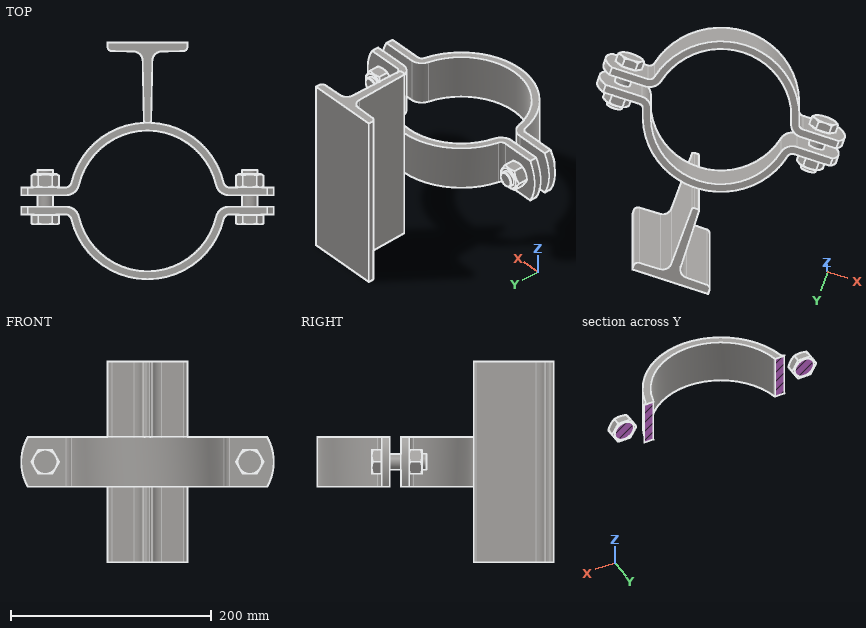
import cadquery as cq
import math

ring_radius = 78.0
strip_thickness = 8.0
strip_width = 50.0
ear_gap = 11.0
bend_radius = 5.5
ear_reach = 126.0
ear_tip_radius = 50.0

tee_length = 200.0
tee_height = 80.1
flange_width = 80.0
tee_thickness = 9.0
taper_slope = 0.02
root_radius = 9.0
toe_radius = 4.5
stem_tip_radius = 2.0
weld_overlap = 0.3

bolt_spacing = 203.9
bolt_diameter = 16.0
bolt_tip_diameter = 14.9
bolt_protrusion = 4.0
hex_across_flats = 24.0
head_height = 9.8
washer_face_diameter = 22.0
washer_face_height = 0.5
nut_height = 13.4
nut_top_face_diameter = 22.0
chamfer_angle = math.radians(30)

ear_back = ear_gap / 2 + strip_thickness
hex_corner_radius = hex_across_flats / math.sqrt(3)


def make_half_clamp():
    """Upper strip: half ring with a bent, round-tipped ear on each side."""
    bend_y = ear_back + bend_radius
    bend_x = math.sqrt((ring_radius + bend_radius) ** 2 - bend_y ** 2)
    bend_angle = math.atan2(bend_y, bend_x)
    bend_middle_angle = (bend_angle + math.pi + 1.5 * math.pi) / 2

    def on_ring(radius):
        return (radius * math.cos(bend_angle), radius * math.sin(bend_angle))

    def on_bend(radius):
        return (
            bend_x + radius * math.cos(bend_middle_angle),
            bend_y + radius * math.sin(bend_middle_angle),
        )

    def mirrored(point):
        return (-point[0], point[1])

    bore_radius = ring_radius - strip_thickness
    wide_bend_radius = bend_radius + strip_thickness
    strip = (
        cq.Workplane("XY")
        .moveTo(ear_reach, ear_back)
        .lineTo(bend_x, ear_back)
        .threePointArc(on_bend(bend_radius), on_ring(ring_radius))
        .threePointArc((0, ring_radius), mirrored(on_ring(ring_radius)))
        .threePointArc(mirrored(on_bend(bend_radius)), (-bend_x, ear_back))
        .lineTo(-ear_reach, ear_back)
        .lineTo(-ear_reach, ear_gap / 2)
        .lineTo(-bend_x, ear_gap / 2)
        .threePointArc(mirrored(on_bend(wide_bend_radius)), mirrored(on_ring(bore_radius)))
        .threePointArc((0, bore_radius), on_ring(bore_radius))
        .threePointArc(on_bend(wide_bend_radius), (bend_x, ear_gap / 2))
        .lineTo(ear_reach, ear_gap / 2)
        .close()
        .extrude(strip_width / 2, both=True)
    )

    half_width = strip_width / 2
    tip_depth = ear_tip_radius - math.sqrt(ear_tip_radius ** 2 - half_width ** 2)
    corner_x = ear_reach - tip_depth
    front_outline = (
        cq.Workplane("XZ")
        .moveTo(-corner_x, -half_width)
        .lineTo(corner_x, -half_width)
        .threePointArc((ear_reach, 0), (corner_x, half_width))
        .lineTo(-corner_x, half_width)
        .threePointArc((-ear_reach, 0), (-corner_x, -half_width))
        .close()
        .extrude(ring_radius, both=True)
    )
    return strip.intersect(front_outline)


def make_tee_bar():
    """Tapered tee section along Z, with rounded roots, toes and stem tip."""
    tip_y = ring_radius - weld_overlap
    back_y = tip_y + tee_height
    half_flange = flange_width / 2

    stem_tip_half = tee_thickness / 2 - taper_slope * tee_height / 2
    toe_y = back_y - tee_thickness + taper_slope * half_flange / 2
    flange_face_y = toe_y - tip_y - taper_slope * half_flange
    corner_x = (stem_tip_half + taper_slope * flange_face_y) / (1 - taper_slope ** 2)
    corner_y = tip_y + flange_face_y + taper_slope * corner_x

    bar = (
        cq.Workplane("XY")
        .workplane(offset=-tee_length / 2)
        .polyline([
            (-stem_tip_half, tip_y),
            (stem_tip_half, tip_y),
            (corner_x, corner_y),
            (half_flange, toe_y),
            (half_flange, back_y),
            (-half_flange, back_y),
            (-half_flange, toe_y),
            (-corner_x, corner_y),
        ])
        .close()
        .extrude(tee_length)
    )

    def round_edges(body, x, y, radius):
        for side in (-1, 1):
            edge = cq.selectors.NearestToPointSelector((side * x, y, 0))
            body = body.edges("|Z").edges(edge).fillet(radius)
        return body

    bar = round_edges(bar, corner_x, corner_y, root_radius)
    bar = round_edges(bar, half_flange, toe_y, toe_radius)
    return round_edges(bar, stem_tip_half, tip_y, stem_tip_radius)


def make_hexagon(bottom_y, height, bottom_face_radius, top_face_radius):
    """Hexagon along +Y with corners on X, its corners chamfered by a turned envelope."""
    top_y = bottom_y + height
    bottom_chamfer_height = (hex_corner_radius - bottom_face_radius) * math.tan(chamfer_angle)
    top_chamfer_height = (hex_corner_radius - top_face_radius) * math.tan(chamfer_angle)
    outline = [(0, bottom_y), (bottom_face_radius, bottom_y)]
    if bottom_chamfer_height > 0:
        outline.append((hex_corner_radius, bottom_y + bottom_chamfer_height))
    outline += [
        (hex_corner_radius, top_y - top_chamfer_height),
        (top_face_radius, top_y),
        (0, top_y),
    ]
    envelope = cq.Workplane("XY").polyline(outline).close().revolve(360, (0, 0), (0, 1))
    prism = (
        cq.Workplane("XZ", origin=(0, bottom_y, 0))
        .polygon(6, 2 * hex_corner_radius)
        .extrude(-height)
    )
    return prism.intersect(envelope)


def make_bolt():
    """Bolt along Y with its head at -Y and its nut at +Y."""
    shank_end = ear_back + nut_height + bolt_protrusion
    tip_chamfer = (bolt_diameter - bolt_tip_diameter) / 2
    shank = (
        cq.Workplane("XZ", origin=(0, -ear_back, 0))
        .circle(bolt_diameter / 2)
        .extrude(-(ear_back + shank_end))
        .faces(">Y")
        .chamfer(tip_chamfer)
    )
    washer_face = (
        cq.Workplane("XZ", origin=(0, -ear_back, 0))
        .circle(washer_face_diameter / 2)
        .extrude(washer_face_height)
    )
    flat_radius = hex_across_flats / 2
    head_hex_height = head_height - washer_face_height
    head = make_hexagon(
        ear_back + washer_face_height, head_hex_height, hex_corner_radius, flat_radius
    ).mirror("XZ")
    nut = make_hexagon(ear_back, nut_height, flat_radius, nut_top_face_diameter / 2)
    return shank.union(washer_face).union(head).union(nut)


half_clamp = make_half_clamp()
result = half_clamp.union(half_clamp.mirror("XZ")).union(make_tee_bar())
for bolt_x in (-bolt_spacing / 2, bolt_spacing / 2):
    result = result.union(make_bolt().translate((bolt_x, 0, 0)))